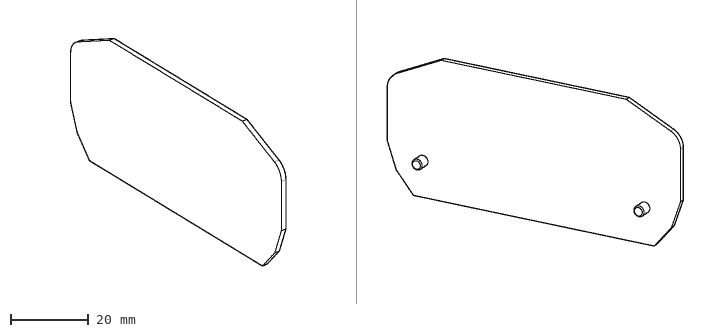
import cadquery as cq

width = 86.5
height = 39.2
thickness = 1.6
half_width = width / 2

top_inset = 16.0
shoulder_drop = 7.6
shoulder_radius = 5.0

side_bottom_z = 13.85
knee_inset = 2.7
knee_z = 6.15
bottom_inset = 7.8

total_depth = 4.9
pin_diameter = 3.0
pin_spacing = 65.4
pin_z = 10.2
pin_chamfer = 0.35


def make_plate():
    shoulder_z = height - shoulder_drop
    right_side = [
        (half_width - bottom_inset, 0),
        (half_width - knee_inset, knee_z),
        (half_width, side_bottom_z),
        (half_width, shoulder_z),
        (half_width - top_inset, height),
    ]
    left_side = [(-x, z) for x, z in reversed(right_side)]
    plate = (
        cq.Workplane("XZ")
        .polyline(right_side + left_side)
        .close()
        .extrude(-thickness)
    )
    shoulders = cq.selectors.BoxSelector(
        (-width, -thickness, shoulder_z - thickness),
        (width, 2 * thickness, shoulder_z + thickness),
    )
    return plate.edges("|Y").edges(shoulders).fillet(shoulder_radius)


def make_pin(x):
    return (
        cq.Workplane("XZ")
        .center(x, pin_z)
        .circle(pin_diameter / 2)
        .extrude(-total_depth)
        .faces(">Y")
        .chamfer(pin_chamfer)
    )


result = make_plate()
for side in (-1, 1):
    result = result.union(make_pin(side * pin_spacing / 2))
result = result.clean()